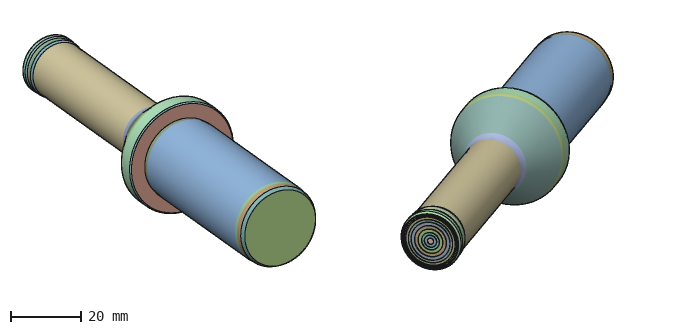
import cadquery as cq

LENGTH = 132.0

TIP_LENGTH = 5.7
TIP_FACE_RADIUS = 8.5
TIP_CORNER_LENGTH = 0.7
BAND_RADIUS = 9.0
BAND_END = 2.0
RIM_GROOVE_RADIUS = 8.7
RIM_GROOVE_START = 2.8
RIM_GROOVE_END = 3.2
CREST_RADIUS = 8.8
CREST_START = 4.0
CREST_END = 4.8
FACE_GROOVES = [(0.9, 1.8), (2.6, 3.7), (4.8, 5.8), (6.6, 7.4), (7.8, 8.2)]
FACE_GROOVE_DEPTH = 0.3

STEM_RADIUS = 17.0 / 2
COLLAR_RADIUS = 34.0 / 2
CONE_START = 58.6
CONE_END = 70.8
COLLAR_END = 76.0
COLLAR_CHAMFER = 0.4
CONE_START_FILLET = 4.6
CONE_END_FILLET = 2.5

SHANK_RADIUS = 25.0 / 2
RELIEF_RADIUS = 24.5 / 2
FRONT_RELIEF_END = 76.8
SHANK_START = 77.9
SHANK_END = 128.0
REAR_RELIEF_START = 128.8
END_CHAMFER_LENGTH = 1.2
END_CHAMFER_DEPTH = 0.7


def revolve_about_x(outline):
    """Revolve a closed (x, radius) outline about the X axis."""
    return cq.Workplane("XZ").polyline(outline).close().revolve(360, (0, 0, 0), (1, 0, 0))


def face_groove_cutter(inner_radius, outer_radius):
    """Ring-shaped cutter that sinks one groove into the front face of the tip."""
    return cq.Workplane("YZ").circle(outer_radius).circle(inner_radius).extrude(FACE_GROOVE_DEPTH)


def make_tip():
    """Disc with a bevelled front corner, face ring grooves and a shallow tapered rim groove."""
    tip = revolve_about_x([
        (0, 0),
        (0, TIP_FACE_RADIUS),
        (TIP_CORNER_LENGTH, BAND_RADIUS),
        (BAND_END, BAND_RADIUS),
        (RIM_GROOVE_START, RIM_GROOVE_RADIUS),
        (RIM_GROOVE_END, RIM_GROOVE_RADIUS),
        (CREST_START, CREST_RADIUS),
        (CREST_END, CREST_RADIUS),
        (TIP_LENGTH, STEM_RADIUS),
        (TIP_LENGTH, 0),
    ])
    for inner_radius, outer_radius in FACE_GROOVES:
        tip = tip.cut(face_groove_cutter(inner_radius, outer_radius))
    return tip


def fillet_circle(body, x, radius, fillet_radius):
    """Round the circular edge that lies at the given place along X."""
    margin = 0.1
    selector = cq.selectors.BoxSelector(
        (x - margin, -radius - margin, -radius - margin),
        (x + margin, radius + margin, radius + margin),
        boundingbox=True,
    )
    return body.edges(selector).fillet(fillet_radius)


def make_holder():
    """Stem, cone, collar and shank turned in one piece."""
    holder = revolve_about_x([
        (TIP_LENGTH, 0),
        (TIP_LENGTH, STEM_RADIUS),
        (CONE_START, STEM_RADIUS),
        (CONE_END, COLLAR_RADIUS),
        (COLLAR_END - COLLAR_CHAMFER, COLLAR_RADIUS),
        (COLLAR_END, COLLAR_RADIUS - COLLAR_CHAMFER),
        (COLLAR_END, RELIEF_RADIUS),
        (FRONT_RELIEF_END, RELIEF_RADIUS),
        (SHANK_START, SHANK_RADIUS),
        (SHANK_END, SHANK_RADIUS),
        (REAR_RELIEF_START, RELIEF_RADIUS),
        (LENGTH - END_CHAMFER_LENGTH, RELIEF_RADIUS),
        (LENGTH, RELIEF_RADIUS - END_CHAMFER_DEPTH),
        (LENGTH, 0),
    ])
    holder = fillet_circle(holder, CONE_START, STEM_RADIUS, CONE_START_FILLET)
    return fillet_circle(holder, CONE_END, COLLAR_RADIUS, CONE_END_FILLET)


tip = make_tip()
holder = make_holder()
result = cq.Compound.makeCompound([tip.val(), holder.val()])